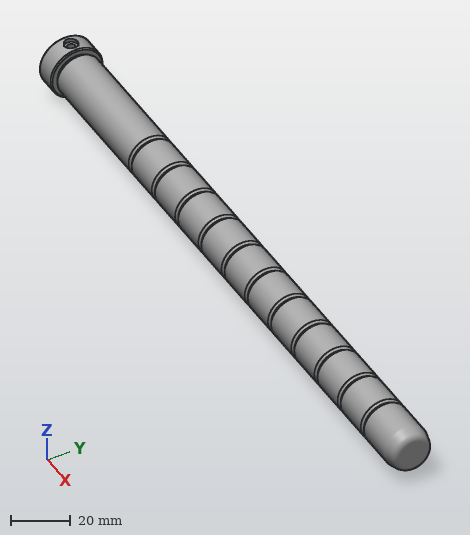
import cadquery as cq
import math

total_length = 240.0
head_diameter = 20.0
head_length = 8.5
head_chamfer = 0.5
shank_diameter = 16.5

neck_diameter = 15.4
neck_length = 1.2

groove_count = 11
groove_first_center = 59.8
groove_span = 160.0
groove_pitch = groove_span / (groove_count - 1)
groove_width = 2.2
groove_depth = 0.6

tip_length = 5.0
tip_taper_angle = math.radians(15)
tip_round_radius = 2.5

bore_diameter = 3.0
bore_mouth_diameter = 5.0
bore_mouth_depth = 1.5
axial_bore_depth = head_length
radial_bore_depth = head_diameter / 2
radial_bore_x = head_length / 2


def add_groove(outline, center):
    """Continue the shank outline through one ring groove."""
    shank_radius = shank_diameter / 2
    return (
        outline.lineTo(center - groove_width / 2, shank_radius)
        .lineTo(center, shank_radius - groove_depth)
        .lineTo(center + groove_width / 2, shank_radius)
    )


def add_tip(outline):
    """Continue the outline down the taper and round the end edge tangent to both sides."""
    shank_radius = shank_diameter / 2
    taper_start = total_length - tip_length
    round_x = total_length - tip_round_radius

    def round_point(angle, center_radius):
        return (
            round_x + tip_round_radius * math.sin(angle),
            center_radius + tip_round_radius * math.cos(angle),
        )

    taper_end = round_x + tip_round_radius * math.sin(tip_taper_angle)
    taper_drop = (taper_end - taper_start) * math.tan(tip_taper_angle)
    center_radius = shank_radius - taper_drop - tip_round_radius * math.cos(tip_taper_angle)
    middle_angle = (tip_taper_angle + math.pi / 2) / 2
    return (
        outline.lineTo(taper_start, shank_radius)
        .lineTo(*round_point(tip_taper_angle, center_radius))
        .threePointArc(round_point(middle_angle, center_radius), (total_length, center_radius))
        .lineTo(total_length, 0)
    )


def turned_body():
    """Head, neck, grooved shank and tip, turned about the X axis."""
    head_radius = head_diameter / 2
    neck_end = head_length + neck_length
    outline = (
        cq.Workplane("XZ")
        .lineTo(0, head_radius - head_chamfer)
        .lineTo(head_chamfer, head_radius)
        .lineTo(head_length - head_chamfer, head_radius)
        .lineTo(head_length, head_radius - head_chamfer)
        .lineTo(head_length, neck_diameter / 2)
        .lineTo(neck_end, neck_diameter / 2)
        .lineTo(neck_end, shank_diameter / 2)
    )
    for i in range(groove_count):
        outline = add_groove(outline, groove_first_center + i * groove_pitch)
    return add_tip(outline).close().revolve(360, (0, 0, 0), (1, 0, 0))


def drill(part, entry, depth):
    """Cut a bore with a wider mouth into the part from the entry workplane."""
    part = part.cut(entry.circle(bore_diameter / 2).extrude(-depth))
    return part.cut(entry.circle(bore_mouth_diameter / 2).extrude(-bore_mouth_depth))


axial_entry = cq.Workplane(cq.Plane((0, 0, 0), xDir=(0, 1, 0), normal=(-1, 0, 0)))
radial_entry = cq.Workplane(cq.Plane((radial_bore_x, 0, head_diameter / 2)))

result = turned_body()
result = drill(result, axial_entry, axial_bore_depth)
result = drill(result, radial_entry, radial_bore_depth)